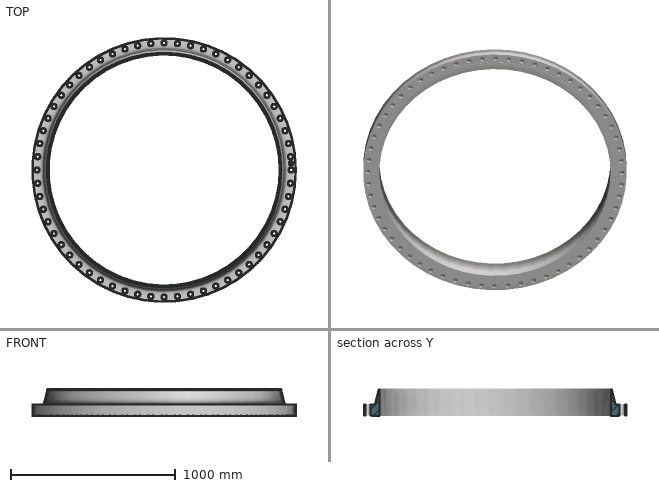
import cadquery as cq
import math

flange_diameter = 1600.0
flange_thickness = 70.0
raised_face_diameter = 1494.0
raised_face_height = 1.6
flange_top = raised_face_height + flange_thickness

overall_height = 166.7
bore_diameter = 1403.4
hub_base_diameter = 1464.0
weld_end_diameter = 1422.4
weld_end_length = 14.0
hub_fillet_radius = 8.0
weld_land_width = 1.6
weld_bevel_angle = 37.5

bolt_count = 60
bolt_circle_diameter = 1543.0
bolt_hole_diameter = 28.6

stepped_hole_angle = 360 / bolt_count / 2
counterbore_diameter = 24.0
counterbore_depth = 15.0
pilot_diameter = 12.0
pilot_depth = 40.0


def make_body():
    """Revolve the half section of the welding-neck flange about Z."""
    bore_radius = bore_diameter / 2
    flange_radius = flange_diameter / 2
    raised_face_radius = raised_face_diameter / 2
    weld_end_radius = weld_end_diameter / 2
    land_radius = bore_radius + weld_land_width
    bevel_height = (weld_end_radius - land_radius) * math.tan(math.radians(weld_bevel_angle))

    section = (
        cq.Workplane("XZ")
        .moveTo(bore_radius, 0)
        .lineTo(raised_face_radius, 0)
        .lineTo(raised_face_radius, raised_face_height)
        .lineTo(flange_radius, raised_face_height)
        .lineTo(flange_radius, flange_top)
        .lineTo(hub_base_diameter / 2, flange_top)
        .lineTo(weld_end_radius, overall_height - weld_end_length)
        .lineTo(weld_end_radius, overall_height - bevel_height)
        .lineTo(land_radius, overall_height)
        .lineTo(bore_radius, overall_height)
        .close()
    )
    return section.revolve(360, (0, 0, 0), (0, 1, 0))


def round_hub_root(body):
    """Fillet the inner circle of the flange top, where the hub rises from it."""
    flange_top_face = body.faces("+Z").faces("<Z")
    hub_root_edge = flange_top_face.edges(cq.selectors.RadiusNthSelector(0))
    return hub_root_edge.fillet(hub_fillet_radius)


def drill_bolt_holes(body):
    """Drill the evenly spaced bolt holes through the flange ring."""
    holes = (
        cq.Workplane("XY")
        .polarArray(bolt_circle_diameter / 2, 0, 360, bolt_count)
        .circle(bolt_hole_diameter / 2)
        .extrude(flange_top)
    )
    return body.cut(holes)


def drill_stepped_hole(body):
    """Sink the blind stepped hole into the top of the flange ring."""
    hole_center = (
        bolt_circle_diameter / 2 * math.cos(math.radians(stepped_hole_angle)),
        bolt_circle_diameter / 2 * math.sin(math.radians(stepped_hole_angle)),
        flange_top,
    )
    hole_plane = cq.Workplane("XY", origin=hole_center)
    counterbore = hole_plane.circle(counterbore_diameter / 2).extrude(-counterbore_depth)
    pilot = hole_plane.circle(pilot_diameter / 2).extrude(-pilot_depth)
    return body.cut(counterbore.union(pilot))


body = round_hub_root(make_body())
body = drill_bolt_holes(body)
result = drill_stepped_hole(body)